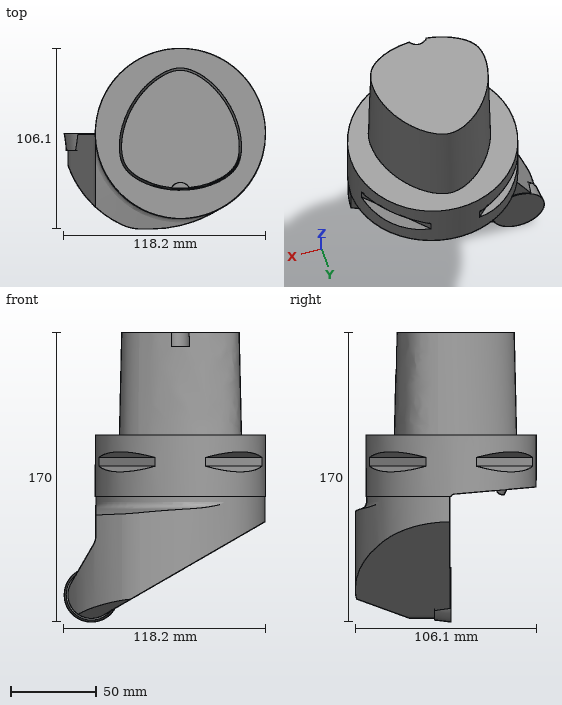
import cadquery as cq
import math


SHANK_LENGTH = 60.2
SHANK_BASE_RADIUS = 35.9
SHANK_TOP_RADIUS = 34.5
LOBE_HEIGHT = 2.5
FLANK_STEPS = 16
NOTCH_DIAMETER = 11.9
NOTCH_DEPTH = 8.3
NOTCH_CENTRE_Y = -34.7

FLANGE_RADIUS = 50.0
FLANGE_HEIGHT = 36.2
SLOT_COUNT = 4
SLOT_FLOOR_RADIUS = 44.2
SLOT_CENTRE_Z = -15.8
SLOT_FLOOR_HEIGHT = 5.1
SLOT_FLANK_ANGLE = math.radians(30)

HEAD_RADIUS = 49.6
SHOULDER_START_Z = -39.6
SHOULDER_FILLET = 3.7
SHOULDER_ANGLE = math.radians(15.6)
HEAD_FACE_Y = -0.7
ENVELOPE_RADIUS = 85.0
ENVELOPE_BOTTOM_Z = -119.0
EDGE_ANGLE = math.radians(60)
UNDERSIDE_ANGLE = math.radians(30)
EDGE_FILLET = 10.5
TIP_RADIUS = 13.8

WALL_RIM_X = 25.5
WALL_FRONT_Y = -56.1
WALL_FRONT_RIGHT_X = -17.3
WALL_FRONT_LEFT_X = -23.6
WALL_BULGE = (4.8, -52.7)
WALL_CORNER_MIDDLE = (-28.9, -55.5)
WALL_CORNER_END = (-34.0, -53.7)
WALL_SIDE_MIDDLE = (-49.8, -43.2)
WALL_TIP = (-66.1, -18.0)

CLEARANCE_ANGLE = math.radians(20)
CLEARANCE_Y = -30.5
CLEARANCE_Z = -105.4

RELIEF_RIM_Z = -30.6
RELIEF_ANGLE = math.radians(5)
RELIEF_FILLET = 2.9

NOZZLE_DIAMETER = 5.0
NOZZLE_X = -13.6
NOZZLE_Y = 29.7
NOZZLE_LENGTH = 1.7
NOZZLE_ROOT = 5.1

INSERT_RADIUS = 16.0
INSERT_THICKNESS = 9.9
INSERT_CLEARANCE_ANGLE = math.radians(7)
INSERT_X = -52.2
INSERT_Z = -93.8


def shank_section(radius, z):
    """Rounded triangle whose width is twice the radius in every direction, one lobe toward +Y."""
    def point(angle):
        support = radius - LOBE_HEIGHT * math.sin(3 * angle)
        slope = -3 * LOBE_HEIGHT * math.cos(3 * angle)
        return cq.Vector(
            support * math.cos(angle) - slope * math.sin(angle),
            support * math.sin(angle) + slope * math.cos(angle),
            z,
        )
    third = 2 * math.pi / 3
    flanks = []
    for side in range(3):
        angles = [third * (side + step / FLANK_STEPS) for step in range(FLANK_STEPS + 1)]
        flanks.append(cq.Edge.makeSpline([point(angle) for angle in angles]))
    return cq.Wire.assembleEdges(flanks)


def make_shank():
    base = shank_section(SHANK_BASE_RADIUS, 0)
    top = shank_section(SHANK_TOP_RADIUS, SHANK_LENGTH)
    shank = cq.Workplane(obj=cq.Solid.makeLoft([base, top], True))
    notch = (
        cq.Workplane("XY", origin=(0, NOTCH_CENTRE_Y, SHANK_LENGTH))
        .circle(NOTCH_DIAMETER / 2)
        .extrude(-NOTCH_DEPTH)
    )
    return shank.cut(notch)


def make_flange():
    flange = cq.Workplane("XY").circle(FLANGE_RADIUS).extrude(-FLANGE_HEIGHT)
    depth = FLANGE_RADIUS - SLOT_FLOOR_RADIUS
    floor_half = SLOT_FLOOR_HEIGHT / 2
    mouth_half = floor_half + depth * math.tan(SLOT_FLANK_ANGLE)
    slot = (
        cq.Workplane("XZ", origin=(0, 0, SLOT_CENTRE_Z))
        .moveTo(SLOT_FLOOR_RADIUS, -floor_half)
        .lineTo(FLANGE_RADIUS, -mouth_half)
        .lineTo(FLANGE_RADIUS, mouth_half)
        .lineTo(SLOT_FLOOR_RADIUS, floor_half)
        .close()
        .extrude(FLANGE_RADIUS, both=True)
    )
    step = 360 / SLOT_COUNT
    for index in range(SLOT_COUNT):
        flange = flange.cut(slot.rotate((0, 0, 0), (0, 0, 1), (index + 0.5) * step))
    return flange


def head_wall():
    """Vertical prism bounded by the outer wall of the head and the flat face at its +Y side."""
    rim_y = -math.sqrt(HEAD_RADIUS**2 - WALL_RIM_X**2)
    rim_middle_angle = math.atan2(rim_y, WALL_RIM_X) / 2
    rim_middle = (HEAD_RADIUS * math.cos(rim_middle_angle), HEAD_RADIUS * math.sin(rim_middle_angle))
    return (
        cq.Workplane("XY", origin=(0, 0, ENVELOPE_BOTTOM_Z))
        .moveTo(math.sqrt(HEAD_RADIUS**2 - HEAD_FACE_Y**2), HEAD_FACE_Y)
        .threePointArc(rim_middle, (WALL_RIM_X, rim_y))
        .threePointArc(WALL_BULGE, (WALL_FRONT_RIGHT_X, WALL_FRONT_Y))
        .lineTo(WALL_FRONT_LEFT_X, WALL_FRONT_Y)
        .threePointArc(WALL_CORNER_MIDDLE, WALL_CORNER_END)
        .threePointArc(WALL_SIDE_MIDDLE, WALL_TIP)
        .lineTo(-ENVELOPE_RADIUS, HEAD_FACE_Y)
        .close()
        .extrude(-FLANGE_HEIGHT - ENVELOPE_BOTTOM_Z)
    )


def relief_z(y):
    """Height of the sloping underside of the flange."""
    return RELIEF_RIM_Z - (FLANGE_RADIUS - y) * math.tan(RELIEF_ANGLE)


def shoulder_envelope():
    """Neck, fillet and conical shoulder that cap the head."""
    fillet_x = HEAD_RADIUS + SHOULDER_FILLET * (1 - math.sin(SHOULDER_ANGLE))
    fillet_z = SHOULDER_START_Z - SHOULDER_FILLET * math.cos(SHOULDER_ANGLE)
    rim_z = fillet_z - (ENVELOPE_RADIUS - fillet_x) * math.tan(SHOULDER_ANGLE)
    return (
        cq.Workplane("XZ")
        .lineTo(HEAD_RADIUS, 0)
        .lineTo(HEAD_RADIUS, SHOULDER_START_Z)
        .tangentArcPoint((fillet_x, fillet_z), relative=False)
        .lineTo(ENVELOPE_RADIUS, rim_z)
        .lineTo(ENVELOPE_RADIUS, ENVELOPE_BOTTOM_Z)
        .lineTo(0, ENVELOPE_BOTTOM_Z)
        .close()
        .revolve(360, (0, 0, 0), (0, 1, 0))
    )


def tip_profile():
    """Side flat, slanted edge, round tip and slanted underside, carried along Y."""
    edge_start = (
        INSERT_X - TIP_RADIUS * math.sin(EDGE_ANGLE),
        INSERT_Z + TIP_RADIUS * math.cos(EDGE_ANGLE),
    )
    underside_start = (
        INSERT_X + TIP_RADIUS * math.sin(UNDERSIDE_ANGLE),
        INSERT_Z - TIP_RADIUS * math.cos(UNDERSIDE_ANGLE),
    )
    middle_angle = (EDGE_ANGLE + UNDERSIDE_ANGLE) / 2
    tip_middle = (
        INSERT_X - TIP_RADIUS * math.cos(middle_angle),
        INSERT_Z - TIP_RADIUS * math.sin(middle_angle),
    )
    flat_end_z = edge_start[1] + (-HEAD_RADIUS - edge_start[0]) * math.tan(EDGE_ANGLE)
    underside_end_z = underside_start[1] + (ENVELOPE_RADIUS - underside_start[0]) * math.tan(UNDERSIDE_ANGLE)
    profile = (
        cq.Workplane("XZ")
        .moveTo(-HEAD_RADIUS, 0)
        .lineTo(-HEAD_RADIUS, flat_end_z)
        .lineTo(*edge_start)
        .threePointArc(tip_middle, underside_start)
        .lineTo(ENVELOPE_RADIUS, underside_end_z)
        .lineTo(ENVELOPE_RADIUS, 0)
        .close()
        .extrude(ENVELOPE_RADIUS)
    )
    corner = cq.selectors.NearestToPointSelector((-HEAD_RADIUS, -ENVELOPE_RADIUS / 2, flat_end_z))
    return profile.edges(corner).fillet(EDGE_FILLET)


def tip_clearance():
    """Wedge below the plane that rises toward -Y."""
    slope = math.tan(CLEARANCE_ANGLE)
    return (
        cq.Workplane("YZ")
        .moveTo(0, CLEARANCE_Z + CLEARANCE_Y * slope)
        .lineTo(-ENVELOPE_RADIUS, CLEARANCE_Z + (CLEARANCE_Y + ENVELOPE_RADIUS) * slope)
        .lineTo(-ENVELOPE_RADIUS, 2 * ENVELOPE_BOTTOM_Z)
        .lineTo(0, 2 * ENVELOPE_BOTTOM_Z)
        .close()
        .extrude(ENVELOPE_RADIUS, both=True)
    )


def make_head():
    return head_wall().intersect(shoulder_envelope()).intersect(tip_profile()).cut(tip_clearance())


def relief():
    """Space below the sloping underside on the +Y side, with a rounded inner corner."""
    corner_z = relief_z(HEAD_FACE_Y)
    space = (
        cq.Workplane("YZ")
        .moveTo(HEAD_FACE_Y, corner_z)
        .lineTo(ENVELOPE_RADIUS, relief_z(ENVELOPE_RADIUS))
        .lineTo(ENVELOPE_RADIUS, ENVELOPE_BOTTOM_Z)
        .lineTo(HEAD_FACE_Y, ENVELOPE_BOTTOM_Z)
        .close()
        .extrude(ENVELOPE_RADIUS, both=True)
    )
    corner = cq.selectors.NearestToPointSelector((0, HEAD_FACE_Y, corner_z))
    return space.edges(corner).fillet(RELIEF_FILLET)


def make_nozzle():
    """Short spout under the relief, aimed at the centre of the insert face."""
    outlet = cq.Vector(NOZZLE_X, NOZZLE_Y, relief_z(NOZZLE_Y))
    aim = (cq.Vector(INSERT_X, 0, INSERT_Z) - outlet).normalized()
    plane = cq.Plane(origin=outlet - aim * NOZZLE_ROOT, xDir=(0, 1, 0), normal=aim)
    return cq.Workplane(plane).circle(NOZZLE_DIAMETER / 2).extrude(NOZZLE_ROOT + NOZZLE_LENGTH)


def make_insert():
    seat_radius = INSERT_RADIUS - INSERT_THICKNESS * math.tan(INSERT_CLEARANCE_ANGLE)
    cone = cq.Solid.makeCone(
        INSERT_RADIUS,
        seat_radius,
        INSERT_THICKNESS,
        pnt=cq.Vector(INSERT_X, 0, INSERT_Z),
        dir=cq.Vector(0, -1, 0),
    )
    return cq.Workplane(obj=cone)


insert = make_insert()
holder = (
    make_flange()
    .union(make_head())
    .cut(relief())
    .union(make_shank())
    .union(make_nozzle())
    .cut(insert)
)

result = cq.Compound.makeCompound([holder.val(), insert.val()])